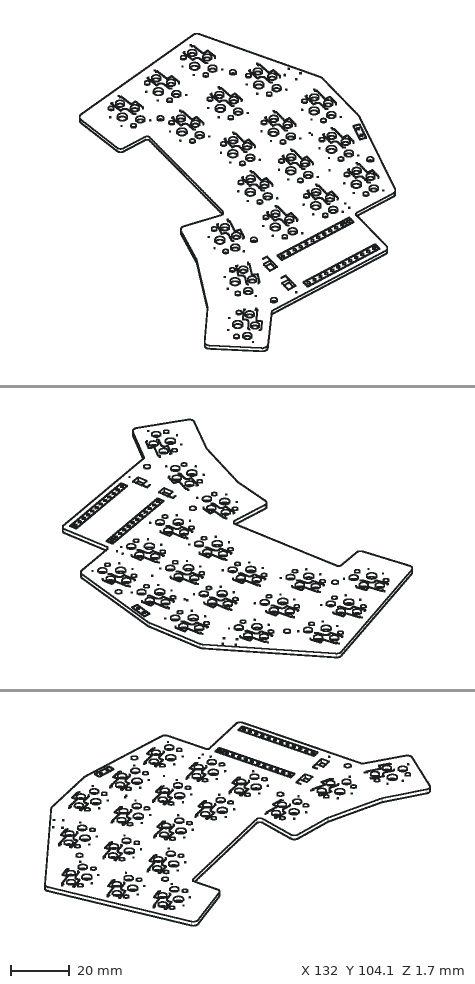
import cadquery as cq
import math

BOARD_THICKNESS = 1.7
GROOVE_DEPTH = 0.07
GROOVE_WIDTH = 0.15
GROOVE_FLOOR = BOARD_THICKNESS - GROOVE_DEPTH

OUTLINE = [
    (-66.4, 29.3, 1.7),
    (-24.7, 52.1, 2.0),
    (-2.6, 52.1, 2.0),
    (33.3, 42.1, 1.8),
    (33.3, 24.7, 0.8),
    (53.3, 24.7, 1.6),
    (53.3, -24.7, 0.8),
    (66.5, -35.9, 1.8),
    (52.8, -52.7, 1.7),
    (39.0, -41.3, 1.3),
    (19.1, -31.7, 1.3),
    (3.5, -27.9, 1.7),
    (7.5, -11.4, 1.3),
    (-37.4, -11.7, 1.0),
    (-37.4, -23.4, 1.6),
    (-58.4, -26.3, 1.8),
]

ROW_PITCH = 17.0
KEY_COLUMNS = [
    (-54.1, 20.0, 8),
    (-34.3, 32.7, 4),
    (-13.6, 41.0, 0),
    (4.4, 35.5, 0),
    (22.5, 33.0, 0),
]
ROWS = 3
THUMB_KEYS = [
    (16.4, -20.0, -15),
    (35.0, -26.9, -26),
    (51.6, -37.8, -40),
]

STEM_DIAMETER = 3.4
PIN_DIAMETER = 1.8
PIN_OFFSET = 5.5
SOCKET_HOLE_DIAMETER = 3.0
SOCKET_HOLES = [(-5.0, 3.7), (0, 6.0), (5.0, 3.7)]

VIA_DIAMETER = 0.3
VIA_COVER = 0.03
KEY_VIAS = [(-2.8, -3.0), (2.8, -3.0), (-7.9, 5.8), (7.7, 5.8)]
LOOSE_VIAS = [(11.9, 29.3), (-6.1, 33.9), (-5.0, 34.0), (29.8, 24.7), (27.5, 24.7), (51.1, -12.8)]

SOCKET_UPPER_LINE = [
    (-7.1, 5.5, 0), (-7.1, 6.2, 0), (-2.1, 6.2, 0), (-2.1, 8.2, 0), (1.6, 8.2, 0), (2.1, 7.7, 0)]
SOCKET_LOWER_LINE = [
    (-7.1, 2.1, 0), (-7.1, 1.6, 0), (-2.5, 1.6, 0), (-2.5, 3.7, 1.3), (1.6, 3.7, 0), (2.1, 4.2, 0)]

MOUNT_DIAMETER = 2.2
MOUNT_HOLES = [(15.8, 43.6), (-44.2, 28.9), (-41.3, -3.5), (23.0, -10.4), (49.6, -21.1)]

HEADER_PITCH = 2.5
HEADER_PINS = 12
HEADER_HOLE_DIAMETER = 1.0
HEADER_TOP = 20.7
BAR_LENGTH = 2.1
HEADER_XS = (34.9, 50.0)

BATTERY_PLACE = (3.4, 48.0, -15.5)
BATTERY_DIAMETER = 0.9
BATTERY_PITCH = 3.2
BATTERY_LENGTH = 6.6
BATTERY_WIDTH = 2.2

RESET_PLACE = (-31.7, 45.0, 28)
RESET_LENGTH = 4.5
RESET_WIDTH = 3.2
RESET_HOLE_DIAMETER = 0.4

WINDOW_LENGTH = 3.7
WINDOW_WIDTH = 3.0
WINDOW_Y = -12.8
WINDOW_XS = (35.9, 46.7)
WINDOW_MARK = [(-2.0, 1.5, 0), (-4.0, 1.5, 0), (-4.0, -0.3, 0)]


def rounded_outline(corners):
    """Closed wire through (x, y, radius) corners, each rounded by a tangent arc."""
    path = None
    for i, (x, y, radius) in enumerate(corners):
        corner = cq.Vector(x, y)
        before = (cq.Vector(*corners[i - 1][:2]) - corner).normalized()
        after = (cq.Vector(*corners[(i + 1) % len(corners)][:2]) - corner).normalized()
        half_angle = before.getAngle(after) / 2
        start = corner + before * (radius / math.tan(half_angle))
        path = path.lineTo(start.x, start.y) if path else cq.Workplane().moveTo(start.x, start.y)
        if radius > 0:
            end = corner + after * (radius / math.tan(half_angle))
            depth = radius / math.sin(half_angle) - radius
            middle = corner + (before + after).normalized() * depth
            path = path.threePointArc((middle.x, middle.y), (end.x, end.y))
    return path.close()


def stroke(points):
    """Marking groove of constant width along (x, y, bend radius) points, with mitred corners."""
    half = GROOVE_WIDTH / 2
    left, right = [], []
    for i, (x, y, bend) in enumerate(points):
        point = cq.Vector(x, y)
        into = point - cq.Vector(*points[i - 1][:2]) if i > 0 else None
        out = cq.Vector(*points[i + 1][:2]) - point if i < len(points) - 1 else None
        into = (into or out).normalized()
        out = (out or into).normalized()
        normal = cq.Vector(-into.y - out.y, into.x + out.x).normalized()
        mitre = normal * (half / normal.dot(cq.Vector(-into.y, into.x)))
        turn = math.copysign(half, into.cross(out).z)
        left.append((x + mitre.x, y + mitre.y, bend - turn if bend else 0))
        right.append((x - mitre.x, y - mitre.y, bend + turn if bend else 0))
    line = rounded_outline(left + right[::-1]).extrude(GROOVE_DEPTH)
    return line.translate((0, 0, GROOVE_FLOOR)).vals()


def frame(x, y, length, width):
    """Rectangular marking groove centred on x, y."""
    outer = cq.Workplane().rect(length + GROOVE_WIDTH, width + GROOVE_WIDTH)
    ring = outer.rect(length - GROOVE_WIDTH, width - GROOVE_WIDTH).extrude(GROOVE_DEPTH)
    return ring.translate((x, y, GROOVE_FLOOR)).vals()


def key_positions():
    """Centre and tilt of every switch."""
    keys = list(THUMB_KEYS)
    for x, y, tilt in KEY_COLUMNS:
        angle = math.radians(tilt)
        for row in range(ROWS):
            drop = row * ROW_PITCH
            keys.append((x + drop * math.sin(angle), y - drop * math.cos(angle), tilt))
    return keys


def bores(points, diameter, cover=0):
    """Round cutters through the board, or stopping short of both faces by the cover."""
    cylinders = cq.Workplane().pushPoints(points).circle(diameter / 2)
    return cylinders.extrude(BOARD_THICKNESS - 2 * cover).translate((0, 0, cover)).vals()


def placed(shapes, x, y, tilt=0):
    """Shapes turned about Z and moved to x, y."""
    return [s.rotate((0, 0, 0), (0, 0, 1), tilt).translate((x, y, 0)) for s in shapes]


key_cutters = (
    bores([(0, 0)], STEM_DIAMETER)
    + bores([(-PIN_OFFSET, 0), (PIN_OFFSET, 0)], PIN_DIAMETER)
    + bores(SOCKET_HOLES, SOCKET_HOLE_DIAMETER)
    + bores(KEY_VIAS, VIA_DIAMETER, VIA_COVER)
    + stroke(SOCKET_UPPER_LINE)
    + stroke(SOCKET_LOWER_LINE)
)
cutters = []
for key in key_positions():
    cutters += placed(key_cutters, *key)

cutters += bores(MOUNT_HOLES, MOUNT_DIAMETER)
cutters += bores(LOOSE_VIAS, VIA_DIAMETER, VIA_COVER)

reset_corners = [
    (side * RESET_LENGTH / 2, end * RESET_WIDTH / 2) for side in (-1, 1) for end in (-1, 1)]
cutters += placed(bores(reset_corners, RESET_HOLE_DIAMETER), *RESET_PLACE)

battery_holes = [(-BATTERY_PITCH / 2, 0), (BATTERY_PITCH / 2, 0)]
cutters += placed(bores(battery_holes, BATTERY_DIAMETER), *BATTERY_PLACE)
cutters += placed(frame(0, 0, BATTERY_LENGTH, BATTERY_WIDTH), *BATTERY_PLACE)

header_length = HEADER_PINS * HEADER_PITCH
header_y = HEADER_TOP - (HEADER_PINS - 1) * HEADER_PITCH / 2
for x in HEADER_XS:
    pins = [(x, HEADER_TOP - i * HEADER_PITCH) for i in range(HEADER_PINS)]
    cutters += bores(pins, HEADER_HOLE_DIAMETER)
    cutters += frame(x, header_y, HEADER_PITCH, header_length)
bar_y = HEADER_TOP - HEADER_PITCH / 2
bar_reach = BAR_LENGTH / 2
cutters += stroke([(HEADER_XS[0] - bar_reach, bar_y, 0), (HEADER_XS[0] + bar_reach, bar_y, 0)])

window = cq.Workplane().rect(WINDOW_LENGTH, WINDOW_WIDTH).extrude(BOARD_THICKNESS).vals()
for x in WINDOW_XS:
    cutters += placed(window + stroke(WINDOW_MARK), x, WINDOW_Y)

board = rounded_outline(OUTLINE).extrude(BOARD_THICKNESS)
result = board.cut(cq.Workplane(cq.Compound.makeCompound(cutters)))